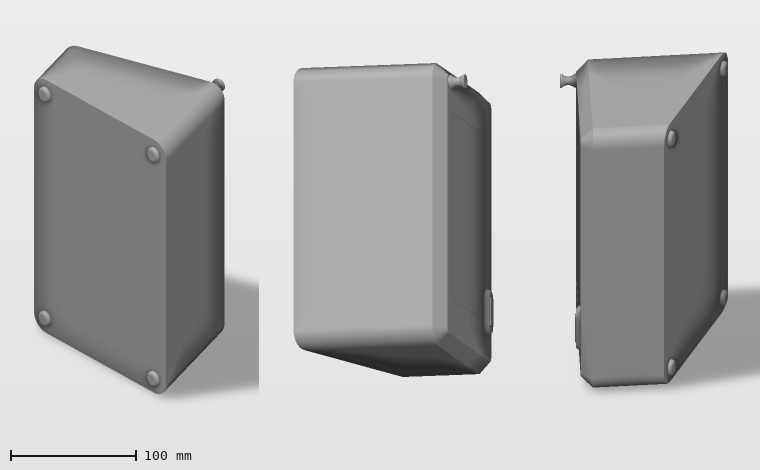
import cadquery as cq
import math

length = 228.5
base_width = 161.6
front_wall = 66.5
wall_lean = math.radians(25)
lid_slope = math.radians(20)
corner_radius = 13.3
lid_chamfer = 9.5

foot_diameter = 13.3
foot_height = 3.5
foot_rounding = 2.7
foot_inset_x = 14.5
foot_inset_z = 13.0

post_u = 130.0
post_z = 99.5
post_height = 12.8
post_rim_diameter = 11.2
post_neck_diameter = 6.9
post_rim = 1.4

boss_u = 21.5
boss_z = -66.5
boss_length = 38.5
boss_width = 16.0
boss_height = 3.5
boss_chamfer = 2.5
pad_length = boss_length - boss_width
pad_width = 7.3
pad_height = 0.7

window_u = 79.0
window_width = 94.0
window_length = 153.0
window_depth = 0.2

lid_width = base_width * math.cos(wall_lean) / math.cos(wall_lean - lid_slope)
low_corner = (-front_wall * math.sin(wall_lean), front_wall * math.cos(wall_lean))
high_corner = (
    low_corner[0] + lid_width * math.cos(lid_slope),
    low_corner[1] + lid_width * math.sin(lid_slope),
)

uphill = cq.Vector(math.cos(lid_slope), math.sin(lid_slope), 0)
lid_normal = cq.Vector(-math.sin(lid_slope), math.cos(lid_slope), 0)
wall_direction = cq.Vector(-math.sin(wall_lean), math.cos(wall_lean), 0)
outermost_on_lid = cq.selectors.DirectionMinMaxSelector(lid_normal)


def lid_point(u, z):
    """Point on the lid, u up the slope from the low corner."""
    return cq.Vector(*low_corner, z) + uphill * u


def on_lid(u, z):
    """Workplane on the lid: local x runs uphill, the normal points outward."""
    return cq.Workplane(cq.Plane(origin=lid_point(u, z), xDir=uphill, normal=lid_normal))


def make_body():
    profile = [(0, 0), (base_width, 0), high_corner, low_corner]
    return (
        cq.Workplane("XY")
        .polyline(profile)
        .close()
        .extrude(length / 2, both=True)
        .edges(cq.selectors.ParallelDirSelector(wall_direction))
        .fillet(corner_radius)
        .faces(outermost_on_lid)
        .edges()
        .chamfer(lid_chamfer)
    )


def make_window():
    return on_lid(window_u, 0).rect(window_width, window_length).extrude(-window_depth)


def make_feet():
    spacing_x = base_width - 2 * foot_inset_x
    spacing_z = length - 2 * foot_inset_z
    return (
        cq.Workplane("XZ", origin=(base_width / 2, 0, 0))
        .rect(spacing_x, spacing_z, forConstruction=True)
        .vertices()
        .circle(foot_diameter / 2)
        .extrude(foot_height)
        .faces("<Y")
        .edges()
        .fillet(foot_rounding)
    )


def make_post():
    rim_radius = post_rim_diameter / 2
    neck_radius = post_neck_diameter / 2
    half_section = cq.Plane(origin=lid_point(post_u, post_z), xDir=uphill, normal=(0, 0, 1))
    return (
        cq.Workplane(half_section)
        .lineTo(rim_radius, 0)
        .lineTo(rim_radius, post_rim)
        .threePointArc((neck_radius, post_height / 2), (rim_radius, post_height - post_rim))
        .lineTo(rim_radius, post_height)
        .lineTo(0, post_height)
        .close()
        .revolve(360, (0, 0), (0, 1))
    )


def make_boss():
    boss = (
        on_lid(boss_u, boss_z)
        .slot2D(boss_length, boss_width, 90)
        .extrude(boss_height)
        .faces(outermost_on_lid)
        .edges()
        .chamfer(boss_chamfer)
    )
    pad = on_lid(boss_u, boss_z).rect(pad_width, pad_length).extrude(boss_height + pad_height)
    return boss.union(pad)


result = (
    make_body()
    .cut(make_window())
    .union(make_feet())
    .union(make_post())
    .union(make_boss())
)